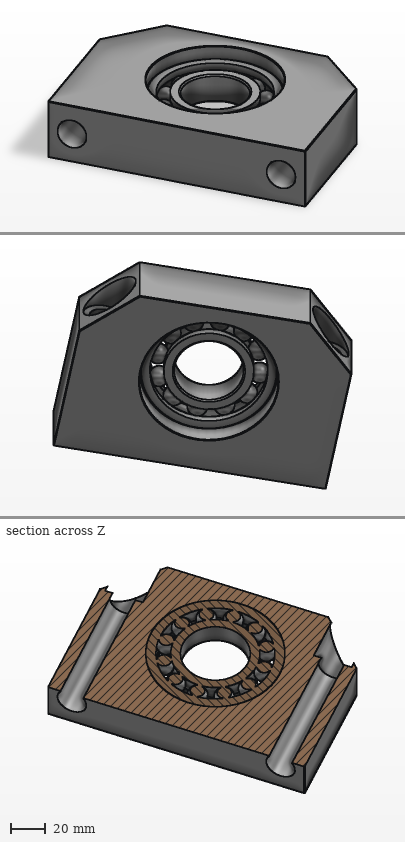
import cadquery as cq
import math

width = 160.0
depth = 110.0
height = 37.0
axis_to_front = 60.0
corner_cut = 30.0
edge_chamfer = 0.5

bolt_inset = 15.0
bolt_hole_diameter = 18.0
counterbore_diameter = 26.0

bearing_recess = 8.0
bearing_diameter = 80.0
bearing_bore = 40.0
bearing_width = 18.0
ring_chamfer = 1.0
inner_ring_diameter = 52.0
outer_ring_bore = 68.0

ball_count = 12
ball_diameter = 12.0
ball_sink = 0.2
first_ball_angle = 2.0

front_y = -axis_to_front
back_y = front_y + depth
mid_height = height / 2
bearing_mid_z = height - bearing_recess - bearing_width / 2
pitch_radius = (inner_ring_diameter + outer_ring_bore) / 4


def make_block():
    """Rectangular block with both rear corners cut off; the top, bottom and front edges are broken."""
    block = cq.Workplane("XY").box(width, depth, height, centered=(True, False, False))
    block = block.translate((0, front_y, 0))
    block = block.edges("|Z and >Y").chamfer(corner_cut)
    return block.faces("<Z or >Z or <Y").edges().chamfer(edge_chamfer)


def cylinder_along_y(x, start_y, end_y, diameter):
    """Cylinder at mid height, parallel to Y."""
    profile = cq.Workplane("XZ", origin=(x, start_y, mid_height)).circle(diameter / 2)
    return profile.extrude(start_y - end_y)


def make_housing():
    """Block with a bearing seat and two counterbored bolt holes."""
    housing = make_block()

    seat = cq.Workplane("XY").circle(bearing_diameter / 2).extrude(height)
    housing = housing.cut(seat)
    housing = housing.edges("%CIRCLE").chamfer(edge_chamfer)

    floor_y = back_y - corner_cut
    bolt_x = width / 2 - bolt_inset
    for x in (-bolt_x, bolt_x):
        housing = housing.cut(cylinder_along_y(x, front_y, back_y, bolt_hole_diameter))
        housing = housing.cut(cylinder_along_y(x, floor_y, back_y, counterbore_diameter))
    return housing


def make_ring(outside_diameter, inside_diameter):
    """Plain ring centred on the origin."""
    ring = cq.Workplane("XY").circle(outside_diameter / 2).circle(inside_diameter / 2)
    return ring.extrude(bearing_width / 2, both=True)


def make_bearing():
    """Deep groove ball bearing as one solid."""
    smallest = cq.selectors.RadiusNthSelector(0)
    largest = cq.selectors.RadiusNthSelector(-1)
    outer_ring = make_ring(bearing_diameter, outer_ring_bore)
    outer_ring = outer_ring.edges("%CIRCLE").edges(largest).chamfer(ring_chamfer)
    inner_ring = make_ring(inner_ring_diameter, bearing_bore)
    inner_ring = inner_ring.edges("%CIRCLE").edges(smallest).chamfer(ring_chamfer)

    groove = cq.Workplane(cq.Solid.makeTorus(pitch_radius, ball_diameter / 2 - ball_sink))
    bearing = outer_ring.cut(groove).add(inner_ring.cut(groove)).combine()

    for index in range(ball_count):
        angle = math.radians(first_ball_angle + index * 360 / ball_count)
        x = pitch_radius * math.cos(angle)
        y = pitch_radius * math.sin(angle)
        ball = cq.Workplane("XY").sphere(ball_diameter / 2).translate((x, y, 0))
        bearing = bearing.union(ball)
    return bearing.translate((0, 0, bearing_mid_z))


housing = make_housing()
bearing = make_bearing()

result = cq.Compound.makeCompound([housing.solids().val(), bearing.solids().val()])